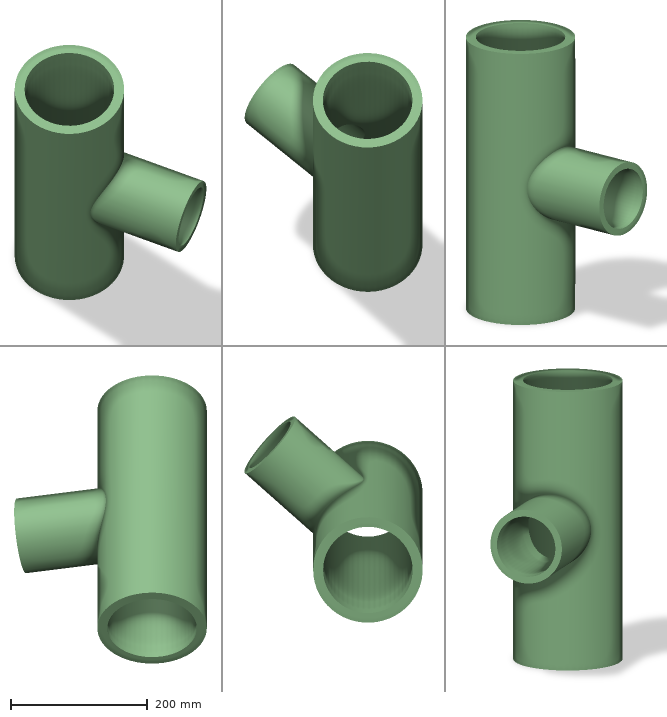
import cadquery as cq

main_length = 417.0
main_diameter = 160.0
main_wall = 14.5

branch_diameter = 110.0
branch_reach = 194.7
branch_wall = main_wall * branch_diameter / main_diameter


def main_cylinder(diameter):
    """Full-length cylinder on the main pipe axis."""
    return cq.Workplane("XY").circle(diameter / 2).extrude(main_length / 2, both=True)


def branch_cylinder(diameter):
    """Cylinder from the main axis to the end of the branch."""
    return cq.Workplane("YZ").circle(diameter / 2).extrude(branch_reach)


outer_body = main_cylinder(main_diameter).union(branch_cylinder(branch_diameter))
main_bore = main_cylinder(main_diameter - 2 * main_wall)
branch_bore = branch_cylinder(branch_diameter - 2 * branch_wall)

result = outer_body.cut(main_bore).cut(branch_bore)